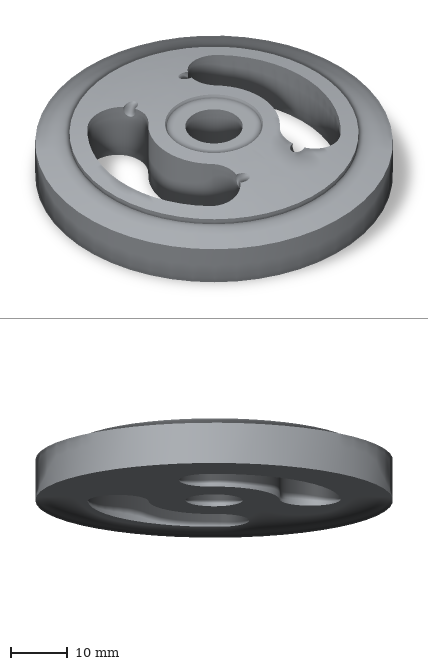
import cadquery as cq
import math

rim_radius = 31.5
rim_height = 7.25
step_radius = 25.45
shoulder_height = 8.25
step_height = 9.3
total_height = 11.35
dome_radius = 141.75

bore_radius = 5.05
recess_radius = 8.6
recess_floor_radius = 8.3
recess_depth = 0.55

window_inner_radius = 11.6
window_outer_radius = 22.3
lobe_angle = 45.0
lobe_radius = (window_outer_radius - window_inner_radius) / 2
lobe_center_radius = window_inner_radius + lobe_radius

notch_radius = 1.15
notch_center_x = 14.35
notch_center_y = 6.7
notch_center_z = 10.8
notch_heading = -68.0
notch_slope = 45.0
notch_half_length = 3.15


def polar(radius, angle):
    """Point in the XY plane at the given radius and angle in degrees."""
    return (radius * math.cos(math.radians(angle)), radius * math.sin(math.radians(angle)))


def make_body():
    """Revolve the half section, leaving the bore and recess open."""
    recess_floor = total_height - recess_depth
    return (
        cq.Workplane("XZ")
        .moveTo(bore_radius, 0)
        .lineTo(rim_radius, 0)
        .lineTo(rim_radius, rim_height)
        .radiusArc((step_radius, shoulder_height), -dome_radius)
        .lineTo(step_radius, step_height)
        .radiusArc((recess_radius, total_height), -dome_radius)
        .lineTo(recess_floor_radius, recess_floor)
        .lineTo(bore_radius, recess_floor)
        .close()
        .revolve(360, (0, 0, 0), (0, 1, 0))
    )


def make_window():
    """Curved through-window centred on +Y."""
    right_angle = lobe_angle
    left_angle = 180 - lobe_angle

    def lobe_end(angle, side):
        center_x, center_y = polar(lobe_center_radius, angle)
        offset_x, offset_y = polar(lobe_radius, angle + side * 90)
        return (center_x + offset_x, center_y + offset_y)

    return (
        cq.Workplane("XY")
        .moveTo(*polar(window_outer_radius, right_angle))
        .threePointArc((0, window_outer_radius), polar(window_outer_radius, left_angle))
        .threePointArc(lobe_end(left_angle, 1), polar(window_inner_radius, left_angle))
        .threePointArc((0, window_inner_radius), polar(window_inner_radius, right_angle))
        .threePointArc(lobe_end(right_angle, -1), polar(window_outer_radius, right_angle))
        .close()
        .extrude(total_height)
    )


def make_notch():
    """Slanted cylinder that sinks from the domed face towards the window."""
    slope = math.radians(notch_slope)
    plan_x, plan_y = polar(math.cos(slope), notch_heading)
    axis = cq.Vector(plan_x, plan_y, math.sin(slope))
    center = cq.Vector(notch_center_x, notch_center_y, notch_center_z)
    start = center - axis * notch_half_length
    return cq.Workplane(cq.Solid.makeCylinder(notch_radius, 2 * notch_half_length, start, axis))


window = make_window()
right_notch = make_notch()
upper_cutters = [window, right_notch, right_notch.mirror("YZ")]

result = make_body()
for cutter in upper_cutters:
    result = result.cut(cutter).cut(cutter.mirror("XZ"))